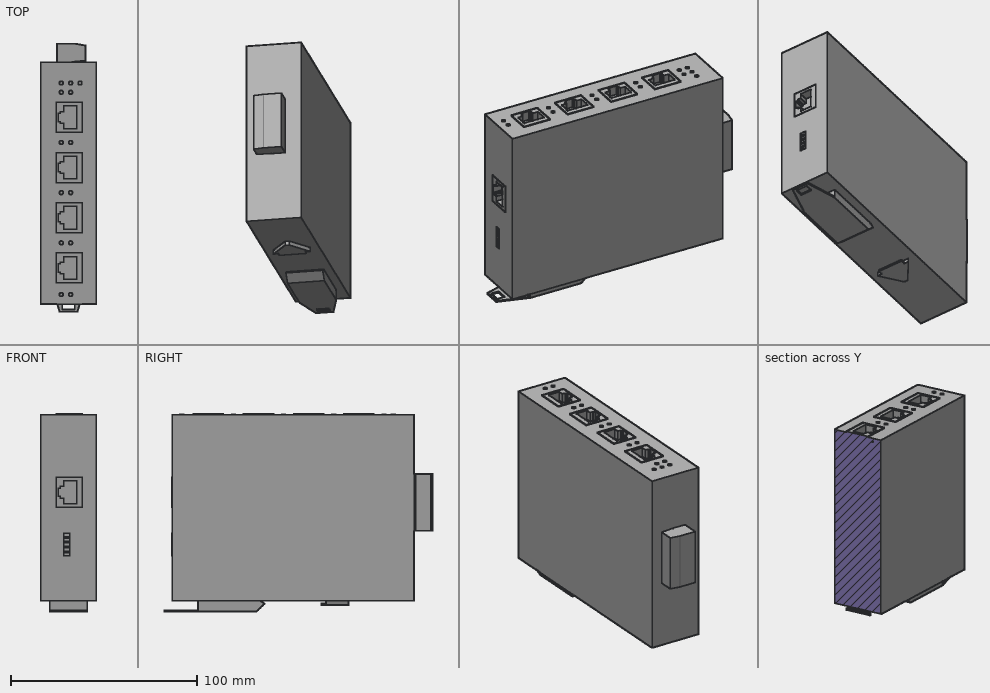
import cadquery as cq

WIDTH = 30.0
LENGTH = 130.0
OVERALL_LENGTH = 144.1
HEIGHT = 100.0

FLANGE_X = 0.5
FLANGE_WIDTH = 14.0
FLANGE_LENGTH = 16.1
TOP_FLANGE_RAISE = 0.5
FRONT_FLANGE_RAISE = 0.1
OPENING_RIGHT = 4.3
OPENING_STEPS = [(-2.5, 12.3), (-4.3, 6.2), (-5.5, 4.5)]
SOCKET_DEPTH = 4.9
SOCKET_COUNT = 4
SOCKET_PITCH = 27.0
FIRST_SOCKET_Y = 19.5
FRONT_SOCKET_Z = 58.4

LAMP_DIAMETER = 2.0
LAMP_RAISE = 0.1
LAMP_PITCH = 5.0
FIRST_LAMP_X = -3.9
PORT_LAMP_COUNT = 2
STATUS_LAMP_COUNT = 3
FRONT_LAMP_Y = 5.2
STATUS_LAMP_Y = 118.8
SOCKET_TO_LAMP = SOCKET_PITCH / 2

SWITCH_COUNT = 5
SWITCH_PITCH = 2.6
SWITCH_WIDTH = 3.3
SWITCH_HEIGHT = 1.7
SWITCH_RAISE = 0.1
SWITCH_X = -0.9
SWITCH_MIDDLE_Z = 30.3

PLUG_LEFT = -6.2
PLUG_RIGHT = 9.2
PLUG_BOTTOM = 37.6
PLUG_TOP = 68.2
PLUG_LENGTH = 10.0
PLUG_SLOPE_X = 3.6
PLUG_SLOPE_DROP = 1.0
PLUG_GAP_X = 1.3
PLUG_GAP = 0.7

FOOT_WIDTH = 20.2
FOOT_DEPTH = 5.8
FOOT_FRONT = 13.8
TOE_START = 45.3
TOE_TIP = 49.7
TOE_TIP_DEPTH = 1.5
TOE_ROOT = 47.5

TAB_THICKNESS = 0.9
TAB_TIP_Y = LENGTH + PLUG_LENGTH - OVERALL_LENGTH
TAB_TIP_WIDTH = 9.7
TAB_HOLE_WIDTH = 6.6
TAB_HOLE_LENGTH = 4.5
TAB_TIP_BAR = 1.5

HOOK_DEPTH = 2.3
HOOK_FRONT = 82.6
HOOK_BACK = 94.8
HOOK_FRONT_WIDTH = FOOT_WIDTH
HOOK_BACK_WIDTH = 2.3
LIP_WIDTH = 15.0
LIP_LENGTH = 2.6
LIP_THICKNESS = 1.0


def box(x_range, y_range, z_range):
    """Box between the given limits on each axis."""
    low, high = zip(x_range, y_range, z_range)
    return cq.Workplane("XY").box(*[b - a for a, b in zip(low, high)], centered=False).translate(low)


def mirrored_taper(front_y, front_width, back_y, back_width, bottom_z, thickness):
    """Flat plate, symmetric about X = 0, whose width changes evenly along Y."""
    outline = [
        (-front_width / 2, front_y),
        (front_width / 2, front_y),
        (back_width / 2, back_y),
        (-back_width / 2, back_y),
    ]
    return cq.Workplane("XY", origin=(0, 0, bottom_z)).polyline(outline).close().extrude(thickness)


def add_socket(solid, face_plane, flange_raise):
    """Add a flange and cut its opening on a plane whose normal points out of the housing."""
    flange = cq.Workplane(face_plane).center(FLANGE_X, 0).rect(FLANGE_WIDTH, FLANGE_LENGTH)
    solid = solid.union(flange.extrude(flange_raise))
    for left, length in OPENING_STEPS:
        step = cq.Workplane(face_plane).workplane(offset=flange_raise).center((left + OPENING_RIGHT) / 2, 0)
        step = step.rect(OPENING_RIGHT - left, length)
        solid = solid.cut(step.extrude(-SOCKET_DEPTH - flange_raise))
    return solid


def lamp_row(count, y):
    """Row of lamps along X on the top face."""
    centres = [(FIRST_LAMP_X + i * LAMP_PITCH, y) for i in range(count)]
    row = cq.Workplane("XY", origin=(0, 0, HEIGHT)).pushPoints(centres)
    return row.circle(LAMP_DIAMETER / 2).extrude(LAMP_RAISE)


def switches():
    """Vertical column of switches on the front face."""
    column = cq.Workplane("XZ", origin=(SWITCH_X, 0, SWITCH_MIDDLE_Z))
    column = column.rarray(SWITCH_PITCH, SWITCH_PITCH, 1, SWITCH_COUNT)
    return column.rect(SWITCH_WIDTH, SWITCH_HEIGHT).extrude(SWITCH_RAISE)


def power_plug():
    outline = [
        (PLUG_LEFT, 0),
        (PLUG_LEFT, PLUG_LENGTH),
        (PLUG_SLOPE_X, PLUG_LENGTH),
        (PLUG_RIGHT, PLUG_LENGTH - PLUG_SLOPE_DROP),
        (PLUG_RIGHT, PLUG_GAP),
        (PLUG_GAP_X, 0),
    ]
    plane = cq.Workplane("XY", origin=(0, LENGTH, PLUG_BOTTOM))
    return plane.polyline(outline).close().extrude(PLUG_TOP - PLUG_BOTTOM)


def rail_foot():
    outline = [
        (FOOT_FRONT, 0),
        (FOOT_FRONT, -FOOT_DEPTH),
        (TOE_START, -FOOT_DEPTH),
        (TOE_TIP, -TOE_TIP_DEPTH),
        (TOE_ROOT, 0),
    ]
    return cq.Workplane("YZ").polyline(outline).close().extrude(FOOT_WIDTH / 2, both=True)


def release_tab():
    tab = mirrored_taper(TAB_TIP_Y, TAB_TIP_WIDTH, FOOT_FRONT, FOOT_WIDTH, -FOOT_DEPTH, TAB_THICKNESS)
    hole_front = TAB_TIP_Y + TAB_TIP_BAR
    hole = box(
        (-TAB_HOLE_WIDTH / 2, TAB_HOLE_WIDTH / 2),
        (hole_front, hole_front + TAB_HOLE_LENGTH),
        (-FOOT_DEPTH, TAB_THICKNESS - FOOT_DEPTH),
    )
    return tab.cut(hole)


def rail_hook():
    wedge = mirrored_taper(
        HOOK_FRONT, HOOK_FRONT_WIDTH, HOOK_BACK, HOOK_BACK_WIDTH, -HOOK_DEPTH, HOOK_DEPTH
    )
    lip = box(
        (-LIP_WIDTH / 2, LIP_WIDTH / 2),
        (HOOK_FRONT - LIP_LENGTH, HOOK_FRONT),
        (-HOOK_DEPTH, LIP_THICKNESS - HOOK_DEPTH),
    )
    return wedge.union(lip)


result = box((-WIDTH / 2, WIDTH / 2), (0, LENGTH), (0, HEIGHT))
for attachment in (power_plug(), rail_foot(), release_tab(), rail_hook(), switches()):
    result = result.union(attachment)

result = result.union(lamp_row(PORT_LAMP_COUNT, FRONT_LAMP_Y))
for i in range(SOCKET_COUNT):
    socket_y = FIRST_SOCKET_Y + i * SOCKET_PITCH
    top_plane = cq.Plane.XY(origin=(0, socket_y, HEIGHT))
    result = add_socket(result, top_plane, TOP_FLANGE_RAISE)
    result = result.union(lamp_row(PORT_LAMP_COUNT, socket_y + SOCKET_TO_LAMP))
result = result.union(lamp_row(STATUS_LAMP_COUNT, STATUS_LAMP_Y))

front_plane = cq.Plane.XZ(origin=(0, 0, FRONT_SOCKET_Z))
result = add_socket(result, front_plane, FRONT_FLANGE_RAISE)